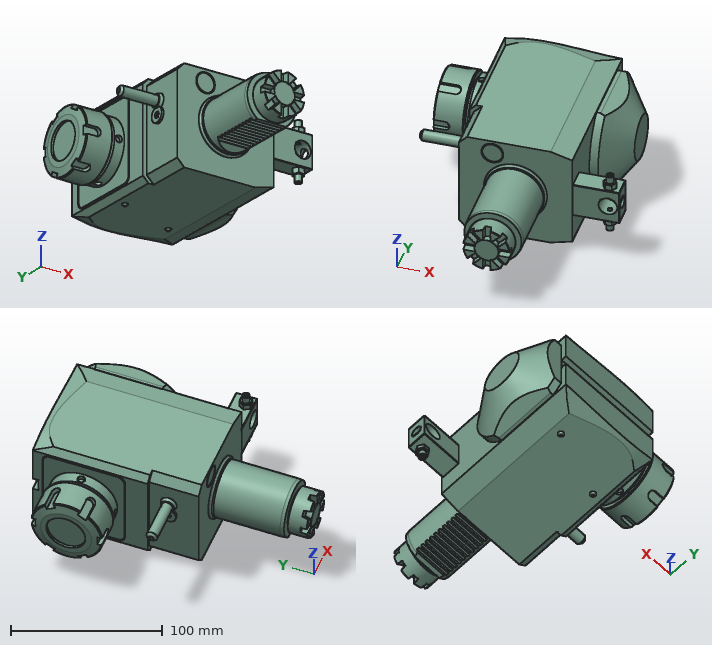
import cadquery as cq
import math


HALF_HEIGHT = 37.5
RIGHT_X = 39.0
REAR_Y = 116.3
FRONT_LEFT_X = -39.0
REAR_LEFT_X = -42.0
STEP_Y = 35.0
FRONT_CHAMFER = 5.7
REAR_CHAMFER = 4.5
TAPER_START_X = 24.0
TAPER_SLOPE = math.tan(math.radians(15))
CROWN_RUN = 22.0
CROWN_EDGE = [
    (REAR_LEFT_X, 33.3),
    (-37.5, 34.0),
    (-30.2, 35.5),
    (-14.7, 36.6),
    (8.8, 35.5),
    (TAPER_START_X, 34.2),
    (RIGHT_X, 33.5),
]
CROWN_CLEARANCE = 9.2
REAR_SLOT_HEIGHT = 10.0
REAR_SLOT_DEPTH = 4.0

GROOVE_WIDTH = 0.5
GROOVE_DEPTH = 0.4
PANEL_LENGTH = 58.3
PANEL_HEIGHT = 63.7
PANEL_RADIUS = 5.3
PLUG_X = -16.0
PLUG_Z = 27.8
PLUG_RADIUS = 7.5

SPINDLE_Y = 80.2
COLLAR_X = -49.9
COLLAR_RADIUS = 24.0
COLLAR_HOLE_X = -46.4
COLLAR_HOLE_COUNT = 4
COLLAR_HOLE_RADIUS = 2.5
COLLAR_HOLE_DEPTH = 2.8
NECK_RADIUS = 20.6
NUT_REAR_X = -52.0
NUT_FRONT_X = -74.5
NUT_RADIUS = 25.2
NUT_CHAMFER = 0.7
NUT_CONE_DEPTH = 1.5
NUT_FACE_RADIUS = 18.0
NUT_BORE_RADIUS = 13.8
NUT_BORE_DEPTH = 1.8
NUT_SLOT_COUNT = 6
NUT_SLOT_WIDTH = 6.6
NUT_SLOT_END_X = -61.8
NUT_LONG_SLOT_END_X = -57.5
NUT_LONG_SLOTS = (4, 5)
NUT_SLOT_FLOOR = 21.9

COVER_RADIUS = 40.7
COVER_RIM_X = 45.0
COVER_END_X = 62.7
COVER_END_RADIUS = 16.0
COVER_REAR_Y = 111.7
COVER_LEDGE_X = 41.8

FLANGE_RADIUS = 21.7
FLANGE_WIDTH = 2.0
FLANGE_ROUND = 1.3
SHOULDER_END_Y = -3.1
SHANK_RADIUS = 20.0
SHANK_BAND_Y = -50.0
SHANK_END_Y = -52.8
SHANK_END_RADIUS = 19.7
RACK_FLAT_Z = -16.0
RACK_START_Y = -9.0
RACK_FIRST_Y = -11.5
RACK_LAST_Y = -47.5
RACK_COUNT = 10
RACK_PITCH = (RACK_FIRST_Y - RACK_LAST_Y) / (RACK_COUNT - 1)
RACK_DEPTH = 1.5
RACK_ROOT_WIDTH = 1.8
RACK_TIP_WIDTH = 0.5

COUPLING_NECK_RADIUS = 13.2
COUPLING_START_Y = -54.0
COUPLING_END_Y = -67.7
COUPLING_RADIUS = 16.2
COUPLING_CHAMFER = 0.4
COUPLING_HUB_RADIUS = 8.3
COUPLING_SLOT_COUNT = 8
COUPLING_SLOT_MOUTH = 5.3
COUPLING_SLOT_FLOOR = 4.0
COUPLING_SLOT_DEPTH = 4.6

PIN_Y = 21.2
PIN_Z = 16.0
PIN_RADIUS = 3.9
PIN_END_X = -71.5
PIN_CHAMFER = 1.8
PIN_SOCKET_SIZE = 2.8
PIN_SOCKET_DEPTH = 1.8
PIN_SEAT_RADIUS = 5.7
PIN_SEAT_TIP_RADIUS = 4.8
PIN_SEAT_X = -41.5
SCREW_Z = 6.0
SCREW_RADIUS = 5.7
SCREW_HEIGHT = 1.7
SCREW_SOCKET_SIZE = 4.0
SCREW_SOCKET_DEPTH = 1.3

BLOCK_END_X = 71.0
BLOCK_HEIGHT = 25.0
BLOCK_FRONT_Y = 1.1
BLOCK_DEPTH = 15.0
BLOCK_CHAMFER = 0.4
BLOCK_HOLE_X = 63.1
BLOCK_HOLE_RADIUS = 6.5
BLOCK_OUTLET_RADIUS = 4.2
STUD_Y = 6.3
STUD_RADIUS = 2.5
STUD_TOP_Z = 22.3
STUD_CHAMFER = 0.4
STUD_POINT_Z = 5.9
STUD_POINT_RADIUS = 1.5
STUD_SOCKET_SIZE = 2.4
STUD_SOCKET_DEPTH = 1.8
STUD_NUT_FLATS = 8.0
STUD_NUT_HEIGHT = 4.2
STUD_NUT_CHAMFER = 0.7

TIP_PLACES = [(-30.4, 72.0), (16.5, 89.0)]
TIP_HEIGHT = 1.5
TIP_BASE_RADIUS = 2.2
TIP_END_RADIUS = 0.7

HEX_CORNER_RATIO = 2 / math.sqrt(3)


def taper_z(x):
    """Height of the tapered top face at a given x."""
    return HALF_HEIGHT - (x - TAPER_START_X) * TAPER_SLOPE


def revolve_about_y(points):
    """Revolve (radius, y) points about the shank axis."""
    return cq.Workplane("XY").polyline(points).close().revolve(360, (0, 0), (0, 1))


def revolve_about_spindle(points):
    """Revolve (x, radius) points about the spindle axis, parallel to X."""
    profile = cq.Workplane("XY", origin=(0, SPINDLE_Y, 0)).polyline(points).close()
    return profile.revolve(360, (0, 0), (1, 0))


def left_facing(x, y, z):
    """Workplane at a point, with its normal along -X and its local x along -Y."""
    return cq.Workplane(cq.Plane((x, y, z), xDir=(0, -1, 0), normal=(-1, 0, 0)))


def housing_portion(left_x, chamfer, y_start, y_end):
    upper = [
        (left_x, HALF_HEIGHT - chamfer),
        (left_x + chamfer, HALF_HEIGHT),
        (TAPER_START_X, HALF_HEIGHT),
        (RIGHT_X, taper_z(RIGHT_X)),
    ]
    lower = [(x, -z) for x, z in reversed(upper)]
    section = cq.Workplane("XZ", origin=(0, y_start, 0)).polyline(upper + lower).close()
    return section.extrude(y_start - y_end)


def crown_cutter():
    """Oblique prism that slopes the upper rear edge of the housing away."""
    edge_start, edge_end = CROWN_EDGE[0], CROWN_EDGE[-1]
    cut_top = HALF_HEIGHT + CROWN_CLEARANCE
    outline = (
        cq.Workplane("XZ", origin=(0, REAR_Y, 0))
        .moveTo(*edge_start)
        .spline(CROWN_EDGE[1:], includeCurrent=True)
        .lineTo(edge_end[0], cut_top)
        .lineTo(edge_start[0], cut_top)
        .close()
    )
    sweep = cq.Vector(0, -CROWN_RUN, CROWN_RUN * TAPER_SLOPE)
    return cq.Workplane(cq.Solid.extrudeLinear(outline.wires().val(), [], sweep))


def housing():
    body = housing_portion(FRONT_LEFT_X, FRONT_CHAMFER, 0, STEP_Y)
    body = body.union(housing_portion(REAR_LEFT_X, REAR_CHAMFER, STEP_Y, REAR_Y))
    cutter = crown_cutter()
    body = body.cut(cutter).cut(cutter.mirror("XY"))

    slot_length = RIGHT_X - REAR_LEFT_X
    slot = cq.Workplane("XY").box(
        slot_length, REAR_SLOT_DEPTH, REAR_SLOT_HEIGHT, centered=(False, False, True)
    )
    body = body.cut(slot.translate((REAR_LEFT_X, REAR_Y - REAR_SLOT_DEPTH, 0)))

    panel_face = left_facing(REAR_LEFT_X, SPINDLE_Y, 0)
    panel = panel_face.rect(PANEL_LENGTH, PANEL_HEIGHT).extrude(-GROOVE_DEPTH)
    panel = panel.edges("|X").fillet(PANEL_RADIUS)
    inner_length = PANEL_LENGTH - 2 * GROOVE_WIDTH
    inner_height = PANEL_HEIGHT - 2 * GROOVE_WIDTH
    island = panel_face.rect(inner_length, inner_height).extrude(-GROOVE_DEPTH)
    island = island.edges("|X").fillet(PANEL_RADIUS - GROOVE_WIDTH)
    body = body.cut(panel.cut(island))

    plug_face = cq.Workplane("XZ", origin=(PLUG_X, 0, PLUG_Z))
    plug_ring = plug_face.circle(PLUG_RADIUS).circle(PLUG_RADIUS - GROOVE_WIDTH).extrude(-GROOVE_DEPTH)
    return body.cut(plug_ring)


def nut_slot(end_x):
    """Round-ended spanner slot on the -Y side of the nut, open at the front."""
    round_x = end_x - NUT_SLOT_WIDTH / 2
    return (
        cq.Workplane("XZ", origin=(0, SPINDLE_Y - NUT_SLOT_FLOOR, 0))
        .moveTo(NUT_FRONT_X, -NUT_SLOT_WIDTH / 2)
        .lineTo(round_x, -NUT_SLOT_WIDTH / 2)
        .threePointArc((end_x, 0), (round_x, NUT_SLOT_WIDTH / 2))
        .lineTo(NUT_FRONT_X, NUT_SLOT_WIDTH / 2)
        .close()
        .extrude(NUT_RADIUS)
    )


def spindle():
    cone_x = NUT_FRONT_X + NUT_CONE_DEPTH
    body = revolve_about_spindle([
        (REAR_LEFT_X, 0),
        (REAR_LEFT_X, COLLAR_RADIUS),
        (COLLAR_X, COLLAR_RADIUS),
        (COLLAR_X, NECK_RADIUS),
        (NUT_REAR_X, NECK_RADIUS),
        (NUT_REAR_X, NUT_RADIUS - NUT_CHAMFER),
        (NUT_REAR_X - NUT_CHAMFER, NUT_RADIUS),
        (cone_x + NUT_CHAMFER, NUT_RADIUS),
        (cone_x, NUT_RADIUS - NUT_CHAMFER),
        (NUT_FRONT_X, NUT_FACE_RADIUS),
        (NUT_FRONT_X + NUT_BORE_DEPTH, NUT_FACE_RADIUS),
        (NUT_FRONT_X + NUT_BORE_DEPTH, 0),
    ])
    face_ring = left_facing(NUT_FRONT_X, SPINDLE_Y, 0).circle(NUT_FACE_RADIUS).circle(NUT_BORE_RADIUS)
    body = body.union(face_ring.extrude(-NUT_BORE_DEPTH))

    axis_start = (0, SPINDLE_Y, 0)
    axis_end = (1, SPINDLE_Y, 0)

    for index in range(NUT_SLOT_COUNT):
        end_x = NUT_LONG_SLOT_END_X if index in NUT_LONG_SLOTS else NUT_SLOT_END_X
        angle = index * 360 / NUT_SLOT_COUNT
        body = body.cut(nut_slot(end_x).rotate(axis_start, axis_end, angle))

    hole_plane = cq.Workplane("XZ", origin=(COLLAR_HOLE_X, SPINDLE_Y - COLLAR_RADIUS, 0))
    hole = hole_plane.circle(COLLAR_HOLE_RADIUS).extrude(-COLLAR_HOLE_DEPTH)
    for index in range(COLLAR_HOLE_COUNT):
        body = body.cut(hole.rotate(axis_start, axis_end, index * 360 / COLLAR_HOLE_COUNT))
    return body


def cover():
    body = revolve_about_spindle([
        (RIGHT_X, 0),
        (RIGHT_X, COVER_RADIUS),
        (COVER_RIM_X, COVER_RADIUS),
        (COVER_END_X, COVER_END_RADIUS),
        (COVER_END_X, 0),
    ])
    ledge_z = taper_z(COVER_LEDGE_X)
    upper = [(RIGHT_X, ledge_z), (COVER_LEDGE_X, ledge_z), (COVER_END_X, taper_z(COVER_END_X))]
    lower = [(x, -z) for x, z in reversed(upper)]
    envelope = cq.Workplane("XZ", origin=(0, COVER_REAR_Y, 0)).polyline(upper + lower).close()
    return body.intersect(envelope.extrude(COVER_REAR_Y))


def shank():
    shoulder_radius = FLANGE_RADIUS - FLANGE_ROUND
    flange = cq.Workplane("XZ").circle(FLANGE_RADIUS).extrude(FLANGE_WIDTH)
    flange = flange.faces("<Y").edges().fillet(FLANGE_ROUND)
    body = revolve_about_y([
        (0, 0),
        (shoulder_radius, 0),
        (shoulder_radius, -FLANGE_WIDTH),
        (SHANK_RADIUS, SHOULDER_END_Y),
        (SHANK_RADIUS, SHANK_BAND_Y),
        (SHANK_END_RADIUS, SHANK_END_Y),
        (0, SHANK_END_Y),
    ]).union(flange)

    cut_depth = SHANK_RADIUS + RACK_FLAT_Z
    flat_cut = (
        cq.Workplane("YZ")
        .moveTo(RACK_START_Y, RACK_FLAT_Z)
        .lineTo(SHANK_END_Y, RACK_FLAT_Z)
        .lineTo(SHANK_END_Y, -SHANK_RADIUS)
        .lineTo(RACK_START_Y + cut_depth, -SHANK_RADIUS)
        .close()
        .extrude(SHANK_RADIUS, both=True)
    )
    body = body.cut(flat_cut)

    half_root = RACK_ROOT_WIDTH / 2
    half_mouth = (RACK_PITCH - RACK_TIP_WIDTH) / 2
    root_z = RACK_FLAT_Z + RACK_DEPTH
    for index in range(RACK_COUNT):
        groove_y = RACK_FIRST_Y - index * RACK_PITCH
        groove = cq.Workplane("YZ").polyline([
            (groove_y - half_mouth, RACK_FLAT_Z),
            (groove_y - half_root, root_z),
            (groove_y + half_root, root_z),
            (groove_y + half_mouth, RACK_FLAT_Z),
        ]).close()
        body = body.cut(groove.extrude(SHANK_RADIUS, both=True))
    return body


def coupling():
    body = revolve_about_y([
        (0, SHANK_END_Y),
        (COUPLING_NECK_RADIUS, SHANK_END_Y),
        (COUPLING_NECK_RADIUS, COUPLING_START_Y),
        (COUPLING_RADIUS - COUPLING_CHAMFER, COUPLING_START_Y),
        (COUPLING_RADIUS, COUPLING_START_Y - COUPLING_CHAMFER),
        (COUPLING_RADIUS, COUPLING_END_Y + COUPLING_CHAMFER),
        (COUPLING_RADIUS - COUPLING_CHAMFER, COUPLING_END_Y),
        (0, COUPLING_END_Y),
    ])
    end_face = cq.Workplane("XZ", origin=(0, COUPLING_END_Y, 0))
    hub = end_face.circle(COUPLING_HUB_RADIUS).extrude(-COUPLING_SLOT_DEPTH)
    half_floor = COUPLING_SLOT_FLOOR / 2
    half_mouth = COUPLING_SLOT_MOUTH / 2
    floor_y = COUPLING_END_Y + COUPLING_SLOT_DEPTH
    slot = cq.Workplane("XY").polyline([
        (-half_mouth, COUPLING_END_Y),
        (-half_floor, floor_y),
        (half_floor, floor_y),
        (half_mouth, COUPLING_END_Y),
    ]).close().extrude(COUPLING_RADIUS)
    slot = slot.cut(hub)
    for index in range(COUPLING_SLOT_COUNT):
        body = body.cut(slot.rotate((0, 0, 0), (0, 1, 0), index * 360 / COUPLING_SLOT_COUNT))
    return body


def pin_and_screw():
    pin_length = FRONT_LEFT_X - PIN_END_X
    pin = left_facing(FRONT_LEFT_X, PIN_Y, PIN_Z).circle(PIN_RADIUS).extrude(pin_length)
    pin = pin.faces("<X").chamfer(PIN_CHAMFER)
    socket = left_facing(PIN_END_X, PIN_Y, PIN_Z).polygon(6, PIN_SOCKET_SIZE * HEX_CORNER_RATIO)
    pin = pin.cut(socket.extrude(-PIN_SOCKET_DEPTH))

    seat = cq.Workplane(cq.Solid.makeCone(
        PIN_SEAT_RADIUS, PIN_SEAT_TIP_RADIUS, FRONT_LEFT_X - PIN_SEAT_X,
        cq.Vector(FRONT_LEFT_X, PIN_Y, PIN_Z), cq.Vector(-1, 0, 0),
    ))

    screw = left_facing(FRONT_LEFT_X, PIN_Y, SCREW_Z).circle(SCREW_RADIUS).extrude(SCREW_HEIGHT)
    socket_face = left_facing(FRONT_LEFT_X - SCREW_HEIGHT, PIN_Y, SCREW_Z)
    screw_socket = socket_face.polygon(6, SCREW_SOCKET_SIZE * HEX_CORNER_RATIO)
    screw = screw.cut(screw_socket.extrude(-SCREW_SOCKET_DEPTH))
    return screw.union(seat).union(pin)


def stud_and_nut():
    """Pointed set screw with its lock nut, standing on the top of the coolant block."""
    axis = cq.Workplane("XY", origin=(BLOCK_HOLE_X, STUD_Y, 0))
    block_top = axis.workplane(offset=BLOCK_HEIGHT / 2)
    corner_diameter = STUD_NUT_FLATS * HEX_CORNER_RATIO
    chamfered = block_top.circle(corner_diameter / 2).extrude(STUD_NUT_HEIGHT)
    chamfered = chamfered.faces(">Z").chamfer(STUD_NUT_CHAMFER / 2, STUD_NUT_CHAMFER)
    lock_nut = block_top.polygon(6, corner_diameter).extrude(STUD_NUT_HEIGHT).intersect(chamfered)

    stud = block_top.circle(STUD_RADIUS).extrude(STUD_TOP_Z - BLOCK_HEIGHT / 2)
    stud = stud.faces(">Z").chamfer(STUD_CHAMFER)
    point = axis.workplane(offset=STUD_POINT_Z).circle(STUD_POINT_RADIUS)
    point = point.extrude(BLOCK_HEIGHT / 2 - STUD_POINT_Z)
    socket = axis.workplane(offset=STUD_TOP_Z).polygon(6, STUD_SOCKET_SIZE * HEX_CORNER_RATIO)
    return lock_nut.union(stud).union(point).cut(socket.extrude(-STUD_SOCKET_DEPTH))


def coolant_block():
    block_length = BLOCK_END_X - RIGHT_X
    block = cq.Workplane("XY").box(block_length, BLOCK_DEPTH, BLOCK_HEIGHT, centered=(False, False, True))
    block = block.translate((RIGHT_X, BLOCK_FRONT_Y, 0))
    block = block.edges("|X or >X").chamfer(BLOCK_CHAMFER)

    bore_face = cq.Workplane("XZ", origin=(BLOCK_HOLE_X, BLOCK_FRONT_Y, 0))
    block = block.cut(bore_face.circle(BLOCK_HOLE_RADIUS).extrude(-BLOCK_DEPTH))
    outlet_start = cq.Workplane("YZ", origin=(BLOCK_HOLE_X, BLOCK_FRONT_Y + BLOCK_DEPTH / 2, 0))
    outlet = outlet_start.circle(BLOCK_OUTLET_RADIUS).extrude(BLOCK_END_X - BLOCK_HOLE_X)
    block = block.cut(outlet)

    stud = stud_and_nut()
    return block.union(stud).union(stud.mirror("XY"))


def with_screw_tips(body):
    for x, y in TIP_PLACES:
        base = cq.Vector(x, y, -HALF_HEIGHT)
        tip = cq.Solid.makeCone(TIP_BASE_RADIUS, TIP_END_RADIUS, TIP_HEIGHT, base, cq.Vector(0, 0, -1))
        body = body.union(cq.Workplane(tip))
    return body


holder = (
    housing()
    .union(spindle())
    .union(cover())
    .union(shank())
    .union(coupling())
    .union(pin_and_screw())
    .union(coolant_block())
)
result = with_screw_tips(holder)